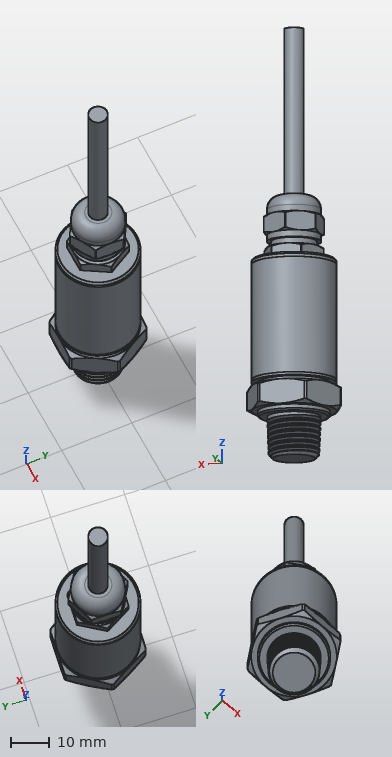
import cadquery as cq
import math

overall_height = 112.7
gland_top = 68.9
nut_hex_top = 63.7
nut_hex_bottom = 58.6
nut_bottom = 56.9
gland_hex_top = 55.2
cap_top = 52.2
sleeve_top = 50.8
sleeve_bottom = 20.5
rim_bottom = 19.8
fitting_hex_top = 18.8
fitting_hex_bottom = 12.4
flange_bottom = 10.9

cable_diameter = 5.1

gland_flats = 14.0
gland_corners = 16.0
dome_radius = gland_flats / 4
neck_diameter = 12.0
cap_chamfer = 0.6

body_diameter = 22.0
fitting_flats = body_diameter
fitting_corners = 25.0
flange_diameter = 18.7
flange_chamfer = 0.5

hex_chamfer_angle = math.radians(30)
corners_along_x = 30
corners_along_y = 0

thread_diameter = 13.9
thread_pitch = 11.3 / 8
thread_depth = 0.9
thread_half_angle = math.radians(30)
groove_start_height = 0.7
groove_turns = 6.8
radius_taper = 1 / 32
tip_radius = thread_diameter / 2 - flange_bottom * radius_taper
tip_chamfer = 1.1
groove_overshoot = 0.1


def cylinder(diameter, bottom, top):
    return cq.Workplane("XY").workplane(offset=bottom).circle(diameter / 2).extrude(top - bottom)


def hexagon(flats, corners, bottom, top, rotation, chamfer_bottom=True):
    """Hexagonal prism with turned-down corners and conical corner chamfers on its end faces."""
    prism = (
        cq.Workplane("XY")
        .workplane(offset=bottom)
        .polygon(6, flats, circumscribed=True)
        .extrude(top - bottom)
        .rotate((0, 0, 0), (0, 0, 1), rotation)
    )
    chamfer_width = (corners - flats) / 2
    chamfer_height = chamfer_width * math.tan(hex_chamfer_angle)
    blank = cylinder(corners, bottom, top).faces(">Z").chamfer(chamfer_height, chamfer_width)
    if chamfer_bottom:
        blank = blank.faces("<Z").chamfer(chamfer_height, chamfer_width)
    return prism.intersect(blank)


def make_cable():
    return cylinder(cable_diameter, gland_top, overall_height)


def make_gland():
    """Domed nut on a necked hexagon, carried by the round cap that closes the sleeve."""
    domed_barrel = cylinder(gland_flats, nut_bottom, gland_top).faces(">Z").edges().fillet(dome_radius)
    nut_hex = hexagon(gland_flats, gland_corners, nut_hex_bottom, nut_hex_top, corners_along_y)
    neck = cylinder(neck_diameter, gland_hex_top, nut_bottom)
    lower_hex = hexagon(
        gland_flats, gland_corners, cap_top, gland_hex_top, corners_along_x, chamfer_bottom=False
    )
    cap = cylinder(body_diameter, sleeve_top, cap_top).faces(">Z").chamfer(cap_chamfer)
    return cap.union(lower_hex).union(neck).union(domed_barrel).union(nut_hex)


def make_sleeve():
    return cylinder(body_diameter, sleeve_bottom, sleeve_top)


def thread_stub():
    """Plain tapered stub with a chamfered tip."""
    return (
        cq.Workplane("XZ")
        .polyline([
            (0, 0),
            (tip_radius - tip_chamfer, 0),
            (tip_radius, tip_chamfer),
            (thread_diameter / 2, flange_bottom),
            (0, flange_bottom),
        ])
        .close()
        .revolve(360, (0, 0, 0), (0, 1, 0))
    )


def thread_groove():
    """Right-handed V groove that climbs the tapered surface of the stub."""
    start_radius = tip_radius + groove_start_height * radius_taper
    helix = cq.Wire.makeHelix(
        thread_pitch,
        groove_turns * thread_pitch,
        start_radius,
        center=cq.Vector(0, 0, groove_start_height),
        angle=math.degrees(math.atan(radius_taper)),
    )
    half_mouth = (thread_depth + groove_overshoot) * math.tan(thread_half_angle)
    outer = start_radius + groove_overshoot
    return (
        cq.Workplane("XZ")
        .polyline([
            (start_radius - thread_depth, groove_start_height),
            (outer, groove_start_height - half_mouth),
            (outer, groove_start_height + half_mouth),
        ])
        .close()
        .sweep(cq.Workplane(helix), isFrenet=True)
    )


def make_fitting():
    """Threaded stub, flange and hexagon below the rim that closes the sleeve."""
    rim = cylinder(body_diameter, rim_bottom, sleeve_bottom)
    neck = cylinder(flange_diameter, fitting_hex_top, rim_bottom)
    hex_collar = hexagon(fitting_flats, fitting_corners, fitting_hex_bottom, fitting_hex_top, corners_along_x)
    flange = cylinder(flange_diameter, flange_bottom, fitting_hex_bottom).faces("<Z").chamfer(flange_chamfer)
    thread = thread_stub().cut(thread_groove())
    return rim.union(neck).union(hex_collar).union(flange).union(thread)


cable = make_cable()
gland = make_gland()
sleeve = make_sleeve()
fitting = make_fitting()

result = cq.Compound.makeCompound([cable.val(), gland.val(), sleeve.val(), fitting.val()])